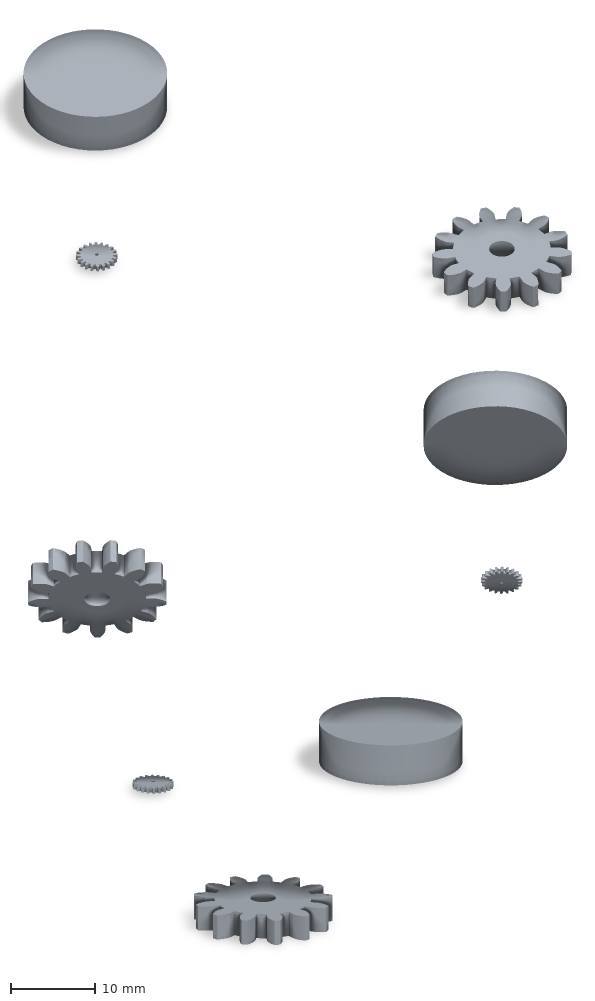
import cadquery as cq
import math

OVERALL_LENGTH = 73.95

DISC_DIAMETER = 17.0
DISC_HEIGHT = 5.0

PRESSURE_ANGLE = math.radians(20)
ADDENDUM_RATIO = 1.0
DEDENDUM_RATIO = 1.25
FLANK_POINTS = 6

GEAR_TEETH = 13
GEAR_TIP_DIAMETER = 16.5
GEAR_HEIGHT = 3.0
GEAR_BORE = 3.0
GEAR_X = OVERALL_LENGTH - DISC_DIAMETER / 2 - GEAR_TIP_DIAMETER / 2
GEAR_Y = 0.48
GEAR_BOTTOM = -0.45

PINION_TEETH = 20
PINION_TIP_DIAMETER = 4.9
PINION_HEIGHT = 0.7
PINION_BORE = 0.45
PINION_X = 16.35
PINION_Y = -24.6
PINION_BOTTOM = 0.0


def polar(radius, angle):
    """Point at a radius and an angle from +X."""
    return (radius * math.cos(angle), radius * math.sin(angle))


def involute(angle):
    """Involute function of a pressure angle."""
    return math.tan(angle) - angle


def make_tooth(teeth, pitch_radius, root_radius, tip_radius, height):
    """One tooth along +X: involute flanks above the base circle, radial flanks below it."""
    base_radius = pitch_radius * math.cos(PRESSURE_ANGLE)
    half_angle_at_base = math.pi / (2 * teeth) + involute(PRESSURE_ANGLE)
    flank_start = max(base_radius, root_radius)

    flank = []
    for i in range(FLANK_POINTS):
        radius = flank_start + (tip_radius - flank_start) * i / (FLANK_POINTS - 1)
        half_angle = half_angle_at_base - involute(math.acos(base_radius / radius))
        flank.append(polar(radius, half_angle))
    opposite_flank = [(x, -y) for x, y in flank]

    return (
        cq.Workplane("XY")
        .moveTo(0, 0)
        .lineTo(*opposite_flank[0])
        .spline(opposite_flank[1:], includeCurrent=True)
        .threePointArc((tip_radius, 0), flank[-1])
        .spline(flank[-2::-1], includeCurrent=True)
        .close()
        .extrude(height)
    )


def make_gear(teeth, tip_diameter, height, bore, place):
    """Spur gear with a through bore and one tooth on +X; place is the middle of its bottom face."""
    module = tip_diameter / (teeth + 2 * ADDENDUM_RATIO)
    tip_radius = tip_diameter / 2
    pitch_radius = module * teeth / 2
    root_radius = pitch_radius - DEDENDUM_RATIO * module

    gear = cq.Workplane("XY").circle(root_radius).extrude(height)
    tooth = make_tooth(teeth, pitch_radius, root_radius, tip_radius, height)
    for i in range(teeth):
        gear = gear.union(tooth.rotate((0, 0, 0), (0, 0, 1), 360 / teeth * i))
    gear = gear.faces(">Z").workplane(origin=(0, 0, height)).hole(bore)
    return gear.translate(place)


disc = cq.Workplane("XY").circle(DISC_DIAMETER / 2).extrude(DISC_HEIGHT)
large_gear = make_gear(
    GEAR_TEETH, GEAR_TIP_DIAMETER, GEAR_HEIGHT, GEAR_BORE, (GEAR_X, GEAR_Y, GEAR_BOTTOM)
)
small_gear = make_gear(
    PINION_TEETH, PINION_TIP_DIAMETER, PINION_HEIGHT, PINION_BORE, (PINION_X, PINION_Y, PINION_BOTTOM)
)

result = cq.Compound.makeCompound([disc.val(), large_gear.val(), small_gear.val()])